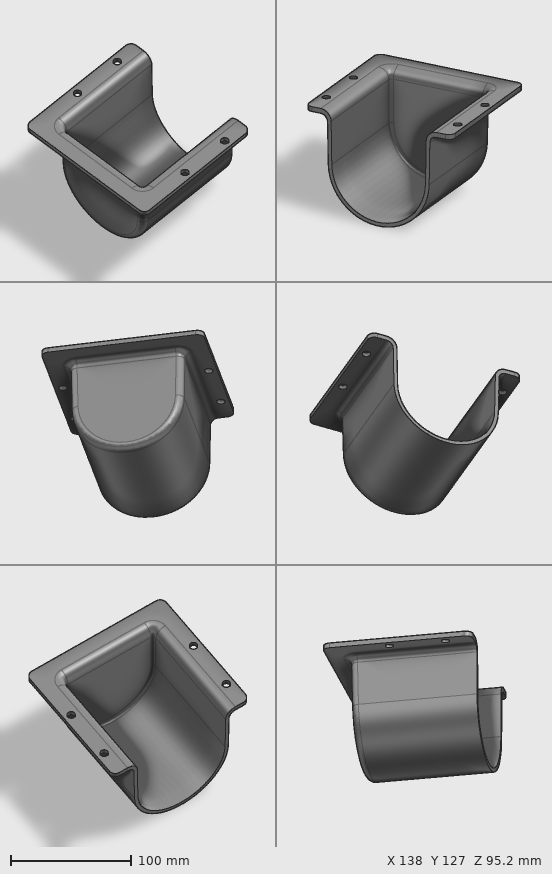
import cadquery as cq
import math

flange_width = 138.0
flange_depth = 127.0
total_height = 95.2
flange_thickness = 4.4
flange_corner_radius = 6.2

draft = math.radians(1.0)
trough_radius = 47.6
wall = 3.5
end_wall_inset = 19.0
outer_edge_radius = 6.2
inner_edge_radius = outer_edge_radius - wall
outer_bend_radius = 6.3
inner_bend_radius = outer_bend_radius + wall

hole_diameter = 6.9
hole_edge_distance = 7.0
hole_back_distance = 23.6
hole_spacing = 47.8

back_y = flange_depth / 2
front_y = -flange_depth / 2
axis_z = trough_radius - total_height


def trough_body(offset, edge_radius):
    """Solid inside the trough's outer surface, moved inwards by offset."""
    radius = trough_radius - offset
    tangent_x = radius * math.cos(draft)
    tangent_z = axis_z - radius * math.sin(draft)
    top_x = tangent_x - tangent_z * math.tan(draft)
    section = (
        cq.Workplane("XZ", origin=(0, back_y, 0))
        .moveTo(-top_x, 0)
        .lineTo(-tangent_x, tangent_z)
        .threePointArc((0, axis_z - radius), (tangent_x, tangent_z))
        .lineTo(top_x, 0)
        .close()
        .extrude(flange_depth)
    )
    wall_top_y = front_y + end_wall_inset + offset / math.cos(draft)
    wall_bottom_y = wall_top_y + total_height * math.tan(draft)
    envelope = (
        cq.Workplane("YZ")
        .polyline([
            (wall_top_y, 0),
            (back_y, 0),
            (back_y, -total_height),
            (wall_bottom_y, -total_height),
        ])
        .close()
        .extrude(flange_width / 2, both=True)
    )
    body = section.intersect(envelope)
    end_edges = body.faces("<Y").edges("not(>Z)")
    return body.newObject(end_edges.vals()).fillet(edge_radius)


def bend_edges(body, height, reach):
    """Edges at a given height along the trough mouth, clear of the flange outline and open end."""
    tolerance = 0.01
    mouth = cq.selectors.BoxSelector(
        (-reach, front_y + tolerance, height - tolerance),
        (reach, back_y - tolerance, height + tolerance),
    )
    return body.edges(mouth)


flange = (
    cq.Workplane("XY")
    .rect(flange_width, flange_depth)
    .extrude(-flange_thickness)
    .edges("|Z")
    .fillet(flange_corner_radius)
)

mouth_reach = flange_width / 2 - hole_edge_distance
part = flange.union(trough_body(0, outer_edge_radius))
part = bend_edges(part, -flange_thickness, mouth_reach).fillet(outer_bend_radius)

part = part.cut(trough_body(wall, inner_edge_radius))
part = bend_edges(part, 0, mouth_reach).fillet(inner_bend_radius)

hole_x = flange_width / 2 - hole_edge_distance
rear_hole_y = back_y - hole_back_distance
hole_points = [(side * hole_x, rear_hole_y - i * hole_spacing) for side in (-1, 1) for i in range(2)]
holes = cq.Workplane("XY").pushPoints(hole_points).circle(hole_diameter / 2).extrude(-flange_thickness)

result = part.cut(holes)